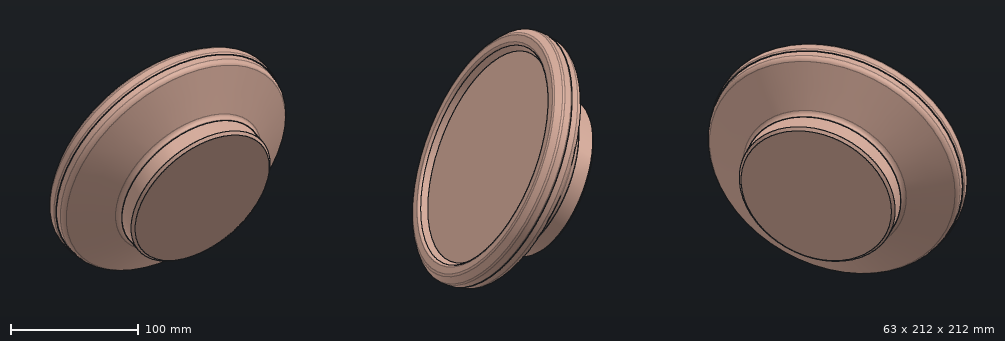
import cadquery as cq
import math

bezel_radius = 106.0
joint_x = 14.5
floor_x = 6.5
floor_radius = 87.5

slope_outer_x = 5.0
rim_start_x = 7.0
slope_outer_radius = 105.4
slope_inner_x = 0.6
slope_inner_radius = 101.0
face_outer_radius = 98.8
face_inner_radius = 93.0
bore_edge_radius = 91.0
bore_edge_x = 2.1
back_round_x = 12.7
back_radius = 105.2

shoulder_radius = 209.3 / 2
shoulder_end_x = 20.0
cone_start_x = 24.4
cone_start_radius = 102.0
cone_end_x = 42.8
cone_end_radius = 67.9
collar_x = 46.9
collar_radius = 130.0 / 2
neck_x = 47.5
neck_radius = 129.5 / 2
back_x = 63.0
end_chamfer = 2.3


def revolve_about_x(profile):
    """Turn a closed (X, radius) profile a full turn about the X axis."""
    return profile.close().revolve(360, (0, 0, 0), (1, 0, 0))


def arc_middle(start, end, bulge):
    """Point at the middle of a chord, moved by bulge to the left of its direction."""
    dx = end[0] - start[0]
    dr = end[1] - start[1]
    chord = math.hypot(dx, dr)
    middle_x = (start[0] + end[0]) / 2 - dr / chord * bulge
    middle_radius = (start[1] + end[1]) / 2 + dx / chord * bulge
    return (middle_x, middle_radius)


def make_bezel():
    """Ring with a sloping border, a flat front face and a tapered bore."""
    edge_bulge = 0.15
    bore_bulge = 0.61
    face_inner = (0, face_inner_radius)
    face_outer = (0, face_outer_radius)
    slope_inner = (slope_inner_x, slope_inner_radius)
    slope_outer = (slope_outer_x, slope_outer_radius)
    rim_start = (rim_start_x, bezel_radius)
    rim_end = (back_round_x, bezel_radius)
    back_edge = (joint_x, back_radius)
    bore_edge = (bore_edge_x, bore_edge_radius)
    profile = (
        cq.Workplane("XY")
        .moveTo(*face_inner)
        .lineTo(*face_outer)
        .threePointArc(arc_middle(face_outer, slope_inner, edge_bulge), slope_inner)
        .lineTo(*slope_outer)
        .threePointArc(arc_middle(slope_outer, rim_start, edge_bulge), rim_start)
        .lineTo(*rim_end)
        .threePointArc(arc_middle(rim_end, back_edge, edge_bulge), back_edge)
        .lineTo(joint_x, floor_radius)
        .lineTo(floor_x, floor_radius)
        .lineTo(*bore_edge)
        .threePointArc(arc_middle(bore_edge, face_inner, bore_bulge), face_inner)
    )
    return revolve_about_x(profile)


def make_housing():
    """Solid body: front panel inside the bezel, shoulder, cone and back neck."""
    shoulder_bulge = 0.53
    throat_bulge = -0.53
    shoulder_end = (shoulder_end_x, shoulder_radius)
    cone_start = (cone_start_x, cone_start_radius)
    cone_end = (cone_end_x, cone_end_radius)
    collar = (collar_x, collar_radius)
    profile = (
        cq.Workplane("XY")
        .moveTo(floor_x, 0)
        .lineTo(floor_x, floor_radius)
        .lineTo(joint_x, floor_radius)
        .lineTo(joint_x, shoulder_radius)
        .lineTo(*shoulder_end)
        .threePointArc(arc_middle(shoulder_end, cone_start, shoulder_bulge), cone_start)
        .lineTo(*cone_end)
        .threePointArc(arc_middle(cone_end, collar, throat_bulge), collar)
        .lineTo(neck_x, collar_radius)
        .lineTo(neck_x, neck_radius)
        .lineTo(back_x - end_chamfer, neck_radius)
        .lineTo(back_x, neck_radius - end_chamfer)
        .lineTo(back_x, 0)
    )
    return revolve_about_x(profile)


bezel = make_bezel()
housing = make_housing()

result = cq.Compound.makeCompound([bezel.val(), housing.val()])